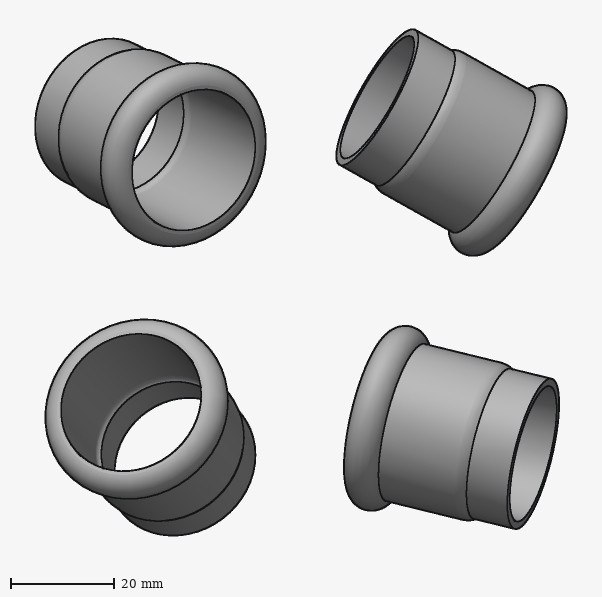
import cadquery as cq
import math

length = 33.5
wall = 1.5

neck_radius = 30.0 / 2
body_radius = 31.4 / 2
bead_radius = 36.68 / 2
neck_bore_radius = neck_radius - wall
body_bore_radius = body_radius - wall

shoulder_start = 8.4
shoulder_end = 10.5
shoulder_rise = body_radius - neck_radius
shoulder_run = shoulder_end - shoulder_start
shoulder_outer_arc = (shoulder_run**2 + shoulder_rise**2) / (2 * shoulder_rise)
shoulder_inner_arc = shoulder_outer_arc - wall
shoulder_inner_run = math.sqrt(shoulder_inner_arc**2 - (shoulder_inner_arc - shoulder_rise) ** 2)
shoulder_inner_start = shoulder_end - shoulder_inner_run

bead_arc = 3.72
bead_x = 29.8
bead_centre_radius = bead_radius - bead_arc
bead_height_at_body = body_radius - bead_centre_radius
bead_start = bead_x - math.sqrt(bead_arc**2 - bead_height_at_body**2)
end_face_radius = bead_centre_radius + math.sqrt(bead_arc**2 - (length - bead_x) ** 2)


def arc_point(centre_x, centre_radius, arc_radius, angle):
    """Point (x, radius) on an arc of the profile, angle measured from +X."""
    return (centre_x + arc_radius * math.cos(angle), centre_radius + arc_radius * math.sin(angle))


def shoulder_middle(arc_radius, run):
    """Middle of a shoulder arc that is tangent to the body at shoulder_end."""
    half_sweep = math.asin(run / arc_radius) / 2
    centre_radius = body_radius - shoulder_outer_arc
    return arc_point(shoulder_end, centre_radius, arc_radius, math.pi / 2 + half_sweep)


def sleeve():
    """Wall section in (x, radius), revolved once around the X axis."""
    profile = (
        cq.Workplane("XY")
        .moveTo(0, neck_bore_radius)
        .lineTo(0, neck_radius)
        .lineTo(shoulder_start, neck_radius)
        .threePointArc(
            shoulder_middle(shoulder_outer_arc, shoulder_run),
            (shoulder_end, body_radius),
        )
        .lineTo(bead_start, body_radius)
        .threePointArc((bead_x, bead_radius), (length, end_face_radius))
        .lineTo(length, body_bore_radius)
        .lineTo(shoulder_end, body_bore_radius)
        .threePointArc(
            shoulder_middle(shoulder_inner_arc, shoulder_inner_run),
            (shoulder_inner_start, neck_bore_radius),
        )
        .close()
    )
    return profile.revolve(360, (0, 0, 0), (1, 0, 0))


result = sleeve()